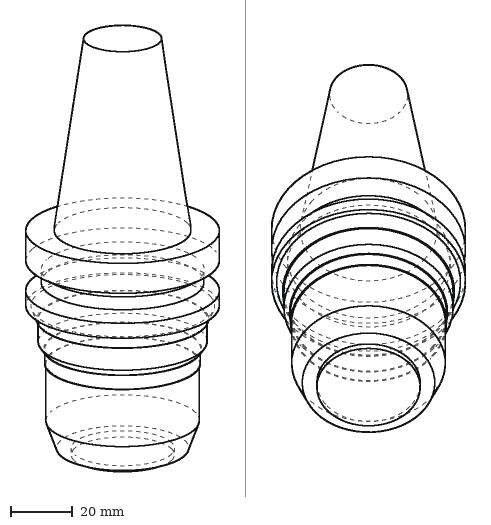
import cadquery as cq

total_height = 143.6

taper_small_diameter = 25.4
taper_gauge_diameter = 44.5
flange_diameter = 63.0
groove_diameter = 53.0
shoulder_top_diameter = 59.7
shoulder_root_diameter = 55.9
collar_diameter = 55.0
collar_chamfer_diameter = 51.4
step_diameter = 50.7
body_diameter = 50.0
nose_diameter = 43.1
tip_diameter = 33.6

gauge_height = 78.1
flange_top = 77.3
groove_upper_edge = 66.9
groove_floor_top = 63.9
groove_floor_bottom = 59.5
groove_lower_edge = 56.6
flange_bottom = 51.4
collar_top = 46.7
collar_bottom = 38.9
step_top = 36.5
step_bottom = 31.5
body_bottom = 11.6
nose_bottom = 2.2

profile = [
    (tip_diameter, 0),
    (tip_diameter, nose_bottom),
    (nose_diameter, nose_bottom),
    (body_diameter, body_bottom),
    (body_diameter, step_bottom),
    (step_diameter, step_bottom),
    (step_diameter, step_top),
    (collar_chamfer_diameter, step_top),
    (collar_diameter, collar_bottom),
    (collar_diameter, collar_top),
    (shoulder_root_diameter, collar_top),
    (shoulder_top_diameter, flange_bottom),
    (flange_diameter, flange_bottom),
    (flange_diameter, groove_lower_edge),
    (groove_diameter, groove_floor_bottom),
    (groove_diameter, groove_floor_top),
    (flange_diameter, groove_upper_edge),
    (flange_diameter, flange_top),
    (taper_gauge_diameter, flange_top),
    (taper_gauge_diameter, gauge_height),
    (taper_small_diameter, total_height),
]

outline = [(diameter / 2, height) for diameter, height in profile]

result = (
    cq.Workplane("XZ")
    .polyline([(0, 0)] + outline + [(0, total_height)])
    .close()
    .revolve(360, (0, 0, 0), (0, 1, 0))
)